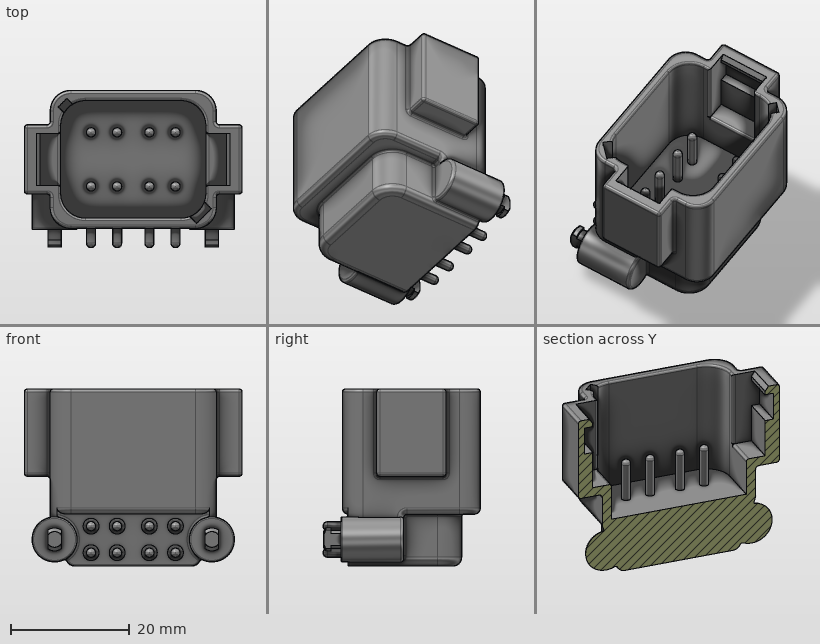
import cadquery as cq
import math


shroud_x = 28.04
shroud_y = 23.3
shroud_top = 29.9
shroud_bottom = 8.74
shroud_corner = 3.5
shroud_bottom_round = 1.1
rim_round = 0.55

cavity_floor = 10.24
cavity_x = 24.5
cavity_y = 19.84
cavity_corner = 4.2
cavity_rim_round = 0.4

flange_x = 36.75
flange_y = 11.7
flange_bottom = 15.13
flange_round = 0.55
pocket_x = 31.4
pocket_y = 8.8
pocket_floor = 16.85
pocket_edge_round = 0.5
ramp_depth = 0.6
ramp_height = 0.9
latch_recess_x = 34.4
latch_recess_bottom = 23.5
latch_recess_top = 28.3

keyway_reach = 2.0
keyway_start = -2.0
keyway_bottom = pocket_floor
keyway_narrow = 2.05
keyway_wide = 3.5

base_x = 22.7
base_front = -10.73
base_back = 8.5
base_corner = 4.1
base_bottom_round = 1.5
base_front_round = 0.25
base_blend_round = 0.4

boss_offset = 13.28
boss_height = 4.5
boss_radius = 3.8
boss_front = -11.87
boss_back = -1.3
boss_back_round = 0.5
boss_front_round = 0.25
web_blend_round = 0.6

peg_tip = -14.82
peg_half_width = 1.14
peg_radius = 1.53
peg_head_start = -13.6
peg_cone_start = -14.44
peg_head_radius = 1.94
peg_tip_radius = 1.33

pin_radius = 0.78
pin_tip_round = pin_radius - 0.01
pin_columns = [-7.12, -2.72, 2.72, 7.12]
pin_embed = 1.0
socket_rows = 4.56
board_row_pitch = 4.48
board_row_middle = 4.5
pin_board_tip = -14.9
pin_inner_tip = 17.6
pin_collar_radius = 1.33
pin_collar_height = 0.55


def box_between(x0, x1, y0, y1, z0, z1):
    """Axis-aligned box given by its limits; the X limits may come in either order."""
    block = cq.Workplane("XY").box(abs(x1 - x0), y1 - y0, z1 - z0, centered=False)
    return block.translate((min(x0, x1), y0, z0))


def near(point):
    """Selector for the edge closest to a point."""
    return cq.NearestToPointSelector(point)


def bar_along_y(radius, y_start, y_end, end_radius=None):
    """Round bar along Y, tapering to end_radius when that is given."""
    last = radius if end_radius is None else end_radius
    profile = cq.Workplane("XY").polyline([(0, y_start), (radius, y_start), (last, y_end), (0, y_end)]).close()
    return profile.revolve(360, (0, 0, 0), (0, 1, 0))


def shroud_block(bottom):
    """Upright block with the rounded outline of the shroud, from the given height up to the rim."""
    block = box_between(-shroud_x / 2, shroud_x / 2, -shroud_y / 2, shroud_y / 2, bottom, shroud_top)
    return block.edges("|Z").fillet(shroud_corner)


def make_shroud():
    """Outer block with a rounded underside, stepping down to the boss axis behind the base front."""
    block = shroud_block(shroud_bottom).edges("<Z").fillet(shroud_bottom_round)
    behind_bosses = box_between(-shroud_x, shroud_x, boss_back, shroud_y, 0, shroud_bottom)
    stepped = shroud_block(boss_height).cut(behind_bosses)
    stepped = stepped.edges(near((0, boss_back, shroud_bottom))).fillet(web_blend_round)
    stepped = stepped.edges(near((0, shroud_y / 2, shroud_bottom))).fillet(shroud_bottom_round)
    before_base = box_between(-shroud_x, shroud_x, -shroud_y, base_front, 0, cavity_floor)
    return stepped.cut(before_base).union(block)


def make_flanges():
    """Block whose two ends stick out of the shroud as flanges."""
    block = box_between(-flange_x / 2, flange_x / 2, -flange_y / 2, flange_y / 2, flange_bottom, shroud_top)
    return block.edges("|Z or <Z").fillet(flange_round)


def flange_root(side):
    """Selector for the three edges where a flange leaves the shroud wall."""
    margin = 0.01
    wall = side * shroud_x / 2
    half = flange_y / 2 + margin
    low = (wall - margin, -half, flange_bottom - margin)
    high = (wall + margin, half, shroud_top + margin)
    return cq.selectors.BoxSelector(low, high, boundingbox=True)


def make_base():
    """Block under the shroud that carries the contacts."""
    block = box_between(-base_x / 2, base_x / 2, base_front, base_back, 0, cavity_floor)
    block = block.edges("|Z and >Y").fillet(base_corner)
    block = block.faces("<Z").edges("not <Y").fillet(base_bottom_round)
    return block.edges(near((0, base_front, 0))).fillet(base_front_round)


def make_boss(side):
    """Round mounting boss beside the base."""
    boss = bar_along_y(boss_radius, boss_front, boss_back)
    boss = boss.faces(">Y").edges().fillet(boss_back_round)
    boss = boss.faces("<Y").edges().fillet(boss_front_round)
    return boss.translate((side * boss_offset, 0, boss_height))


def make_peg(side):
    """Snap peg with a wider, tapered head and two flats."""
    peg = bar_along_y(peg_radius, peg_head_start, boss_front + boss_back_round)
    peg = peg.union(bar_along_y(peg_head_radius, peg_cone_start, peg_head_start))
    peg = peg.union(bar_along_y(peg_tip_radius, peg_tip, peg_cone_start, peg_head_radius))
    between_flats = box_between(-peg_half_width, peg_half_width, peg_tip, 0, -boss_radius, boss_radius)
    return peg.intersect(between_flats).translate((side * boss_offset, 0, boss_height))


def make_socket_pin(x, y):
    """Round-ended contact standing on the cavity floor."""
    start = cavity_floor - pin_embed
    pin = cq.Workplane("XY", origin=(x, y, start)).circle(pin_radius).extrude(pin_inner_tip - start)
    return pin.faces(">Z").edges().fillet(pin_tip_round)


def make_board_pin(x, z):
    """Round-ended contact leaving the base front through a conical collar."""
    pin = bar_along_y(pin_radius, pin_board_tip, base_front + pin_embed)
    pin = pin.faces("<Y").edges().fillet(pin_tip_round)
    collar = bar_along_y(pin_radius, base_front - pin_collar_height, base_front, pin_collar_radius)
    return pin.union(collar).translate((x, 0, z))


def cut_cavity(body):
    """Open the shroud from the top and round the mouth."""
    outline = cq.Sketch().rect(cavity_x, cavity_y).vertices().fillet(cavity_corner)
    cavity = cq.Workplane("XY", origin=(0, 0, cavity_floor)).placeSketch(outline)
    body = body.cut(cavity.extrude(shroud_top - cavity_floor))
    return body.edges(near((0, cavity_y / 2, shroud_top))).fillet(cavity_rim_round)


def edge_cutter(plane, u, v, run_u, run_v):
    """Profile of the waste outside a convex rounding of the corner (u, v)."""
    slack = 1 - math.sqrt(0.5)
    profile = cq.Workplane(plane).moveTo(u, v).lineTo(u, v + run_v)
    return profile.threePointArc((u + slack * run_u, v + slack * run_v), (u + run_u, v)).close()


def cut_pocket(body, side):
    """Latch pocket with a lead-in ramp at the mouth and a recess in its end wall."""
    end = side * pocket_x / 2
    half = pocket_y / 2
    mouth = side * cavity_x / 2
    body = body.cut(box_between(0, end, -half, half, pocket_floor, shroud_top))
    for wall in (-half, half):
        outward = math.copysign(pocket_edge_round, wall)
        edge = edge_cutter("XY", mouth, wall, side * pocket_edge_round, outward)
        body = body.cut(edge.extrude(shroud_top - pocket_floor).translate((0, 0, pocket_floor)))
    edge = edge_cutter("XZ", mouth, pocket_floor, side * pocket_edge_round, -pocket_edge_round)
    body = body.cut(edge.extrude(half, both=True))
    recess_end = side * latch_recess_x / 2
    recess = box_between(mouth, recess_end, -half, half, latch_recess_bottom, latch_recess_top)
    ramp_start = shroud_top - ramp_height
    ramp = cq.Workplane("XZ").moveTo(end, ramp_start).lineTo(end + side * ramp_depth, shroud_top)
    ramp = ramp.lineTo(end, shroud_top).close().extrude(half, both=True)
    return body.cut(recess).cut(ramp)


def make_keyway(width, angle, side):
    """Slot cut outwards through a cavity corner at the given angle."""
    slot = box_between(keyway_start, keyway_reach, -width / 2, width / 2, keyway_bottom, shroud_top)
    slot = slot.rotate((0, 0, 0), (0, 0, 1), angle)
    return slot.translate((side * (shroud_x / 2 - shroud_corner), -side * (shroud_y / 2 - shroud_corner), 0))


result = make_shroud().union(make_flanges())
for side in (-1, 1):
    result = result.edges(flange_root(side)).fillet(flange_round)
result = result.faces(">Z").edges().fillet(rim_round)

for side in (-1, 1):
    result = result.union(make_boss(side))
result = result.union(make_base())
boss_middle = (base_x / 2, boss_back, boss_height)
result = result.edges(near(boss_middle)).fillet(base_blend_round)
for side in (-1, 1):
    result = result.union(make_peg(side))

result = cut_cavity(result)
for side in (-1, 1):
    result = cut_pocket(result, side)
result = result.cut(make_keyway(keyway_narrow, 135, -1))
result = result.cut(make_keyway(keyway_wide, -45, 1))

for x in pin_columns:
    for side in (-1, 1):
        result = result.union(make_socket_pin(x, side * socket_rows))
        result = result.union(make_board_pin(x, board_row_middle + side * board_row_pitch / 2))